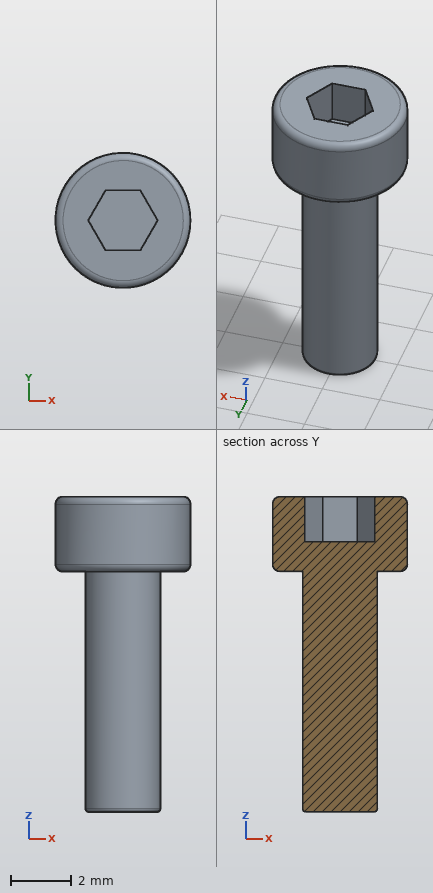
import cadquery as cq
import math

thread_diameter = 2.5
shank_length = 8.0
head_diameter = 4.5
head_height = thread_diameter
head_edge_radius = 0.25
tip_edge_radius = 0.125

socket_across_flats = 2.0
socket_across_corners = socket_across_flats / math.cos(math.pi / 6)
socket_depth = 1.5


def make_head():
    """Cylindrical head with both rims rounded."""
    return (
        cq.Workplane("XY")
        .circle(head_diameter / 2)
        .extrude(head_height)
        .edges("%CIRCLE")
        .fillet(head_edge_radius)
    )


def make_shank():
    """Plain cylindrical shank with a rounded tip."""
    return (
        cq.Workplane("XY")
        .circle(thread_diameter / 2)
        .extrude(-shank_length)
        .faces("<Z")
        .edges()
        .fillet(tip_edge_radius)
    )


def make_socket():
    """Hexagonal recess with two corners on the X axis."""
    return (
        cq.Workplane("XY")
        .workplane(offset=head_height)
        .polygon(6, socket_across_corners)
        .extrude(-socket_depth)
    )


result = make_head().union(make_shank()).cut(make_socket())